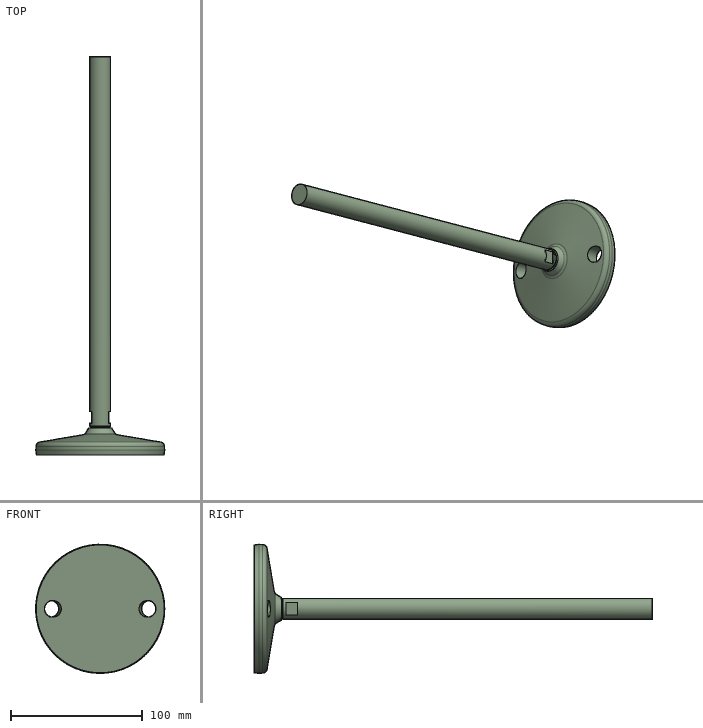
import cadquery as cq
import math


total_length = 302.0

plate_diameter = 98.0
underside_taper = 0.5
widest_level = 3.7
shoulder_taper = 0.2
shoulder_level = 6.4
shoulder_radius = 3.6

plate_radius = plate_diameter / 2
cone_rim_level = 9.4
cone_angle = math.radians(9.5)

collar_top_level = 20.6
collar_top_diameter = 17.4
collar_base_level = 16.4
collar_base_diameter = 22.6
collar_root_radius = 4.0

hole_diameter = 12.5
hole_offset = 35.8
hole_cutter_length = 40.0

stem_diameter = 16.0
stem_start = 21.9
stem_tip_diameter = 14.5
stem_tip_chamfer = 0.7

flat_spacing = 13.0
flat_start = 24.1
flat_length = 8.8


def turned(profile):
    """Close a (radius, Y) profile and turn it about the Y axis."""
    return profile.close().revolve(360, (0, 0), (0, 1))


def arc_onto_cone(point, radius, hollow):
    """Middle and end of an arc from a point to where it runs smoothly into the cone.

    A hollow arc comes down onto the cone from a point above it;
    otherwise the arc is a round that rises to the cone from a point below it.
    """
    normal = (math.sin(cone_angle), math.cos(cone_angle))
    sign = 1 if hollow else -1
    r, y = point
    cone_level = cone_rim_level + (plate_radius - r) * math.tan(cone_angle)
    gap = sign * (y - cone_level) * math.cos(cone_angle)
    run = math.sqrt(radius**2 - (radius - gap) ** 2)
    end = (
        r + sign * (run * normal[1] - gap * normal[0]),
        y - sign * (run * normal[0] + gap * normal[1]),
    )
    centre = (end[0] + sign * radius * normal[0], end[1] + sign * radius * normal[1])

    chord_mid = ((r + end[0]) / 2, (y + end[1]) / 2)
    reach = math.dist(centre, chord_mid)
    middle = tuple(c + (m - c) * radius / reach for c, m in zip(centre, chord_mid))
    return middle, end


def make_foot():
    shoulder = (plate_radius - shoulder_taper, shoulder_level)
    collar_base = (collar_base_diameter / 2, collar_base_level)
    shoulder_middle, shoulder_end = arc_onto_cone(shoulder, shoulder_radius, hollow=False)
    root_middle, root_end = arc_onto_cone(collar_base, collar_root_radius, hollow=True)
    foot = turned(
        cq.Workplane("XY")
        .lineTo(plate_radius - underside_taper, 0)
        .lineTo(plate_radius, widest_level)
        .lineTo(*shoulder)
        .threePointArc(shoulder_middle, shoulder_end)
        .lineTo(*root_end)
        .threePointArc(root_middle, collar_base)
        .lineTo(collar_top_diameter / 2, collar_top_level)
        .lineTo(0, collar_top_level)
    )
    for side in (-1, 1):
        axis = cq.Vector(side * math.sin(cone_angle), math.cos(cone_angle), 0)
        start = cq.Vector(side * hole_offset, 0, 0) - axis * (hole_cutter_length / 2)
        foot = foot.cut(cq.Solid.makeCylinder(hole_diameter / 2, hole_cutter_length, start, axis))
    return foot


def make_stem():
    stem_radius = stem_diameter / 2
    tip_radius = stem_tip_diameter / 2
    stem = turned(
        cq.Workplane("XY")
        .moveTo(0, collar_top_level)
        .lineTo(tip_radius, collar_top_level)
        .lineTo(tip_radius, stem_start - stem_tip_chamfer)
        .lineTo(stem_radius, stem_start)
        .lineTo(stem_radius, total_length)
        .lineTo(0, total_length)
    )
    cutter_depth = stem_radius
    for side in (-1, 1):
        cutter = cq.Workplane("XY").box(cutter_depth, flat_length, stem_diameter)
        cutter_offset = side * (flat_spacing + cutter_depth) / 2
        stem = stem.cut(cutter.translate((cutter_offset, flat_start + flat_length / 2, 0)))
    return stem


foot = make_foot()
stem = make_stem()
result = cq.Compound.makeCompound([foot.val(), stem.val()])